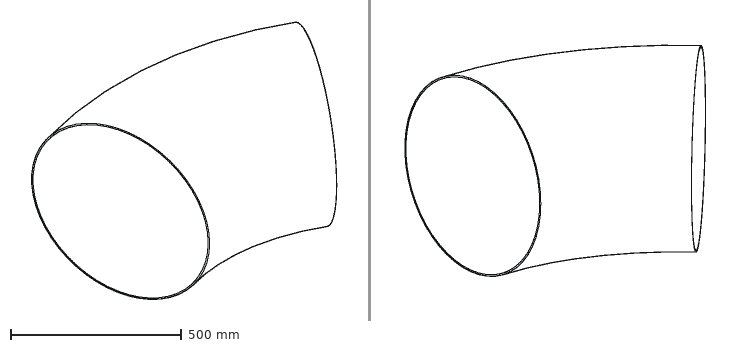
import cadquery as cq
import math

outer_diameter = 608.0
wall = 5.0
bend_angle = 45.0
bend_length = 861.0

outer_radius = outer_diameter / 2
inner_radius = outer_radius - wall
bend_radius = bend_length / math.sin(math.radians(bend_angle)) - outer_radius

pipe_ring = cq.Workplane("XZ").circle(outer_radius).circle(inner_radius)
result = pipe_ring.revolve(bend_angle, (bend_radius, 0, 0), (bend_radius, -1, 0))